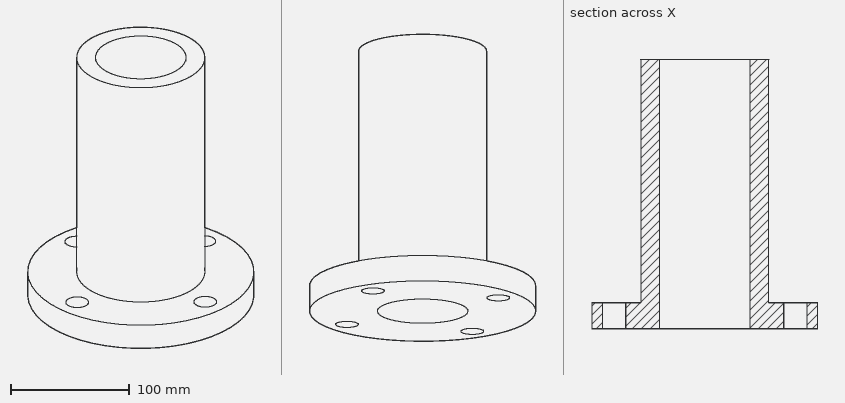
import cadquery as cq

flange_diameter = 190.5
flange_thickness = 22.225

overall_height = 227.01
neck_diameter = 107.95
bore_diameter = 76.2

bolt_circle_diameter = 152.4
bolt_hole_diameter = 19.05
bolt_hole_count = 4


def make_body():
    """Flange disc with the neck rising from it, both centred on Z."""
    flange = cq.Workplane("XY").circle(flange_diameter / 2).extrude(flange_thickness)
    neck = cq.Workplane("XY").circle(neck_diameter / 2).extrude(overall_height)
    return flange.union(neck)


def make_bore():
    """Straight bore through the full height."""
    return cq.Workplane("XY").circle(bore_diameter / 2).extrude(overall_height)


def make_bolt_holes():
    """Evenly spaced bolt holes through the flange."""
    return (
        cq.Workplane("XY")
        .polarArray(bolt_circle_diameter / 2, 0, 360, bolt_hole_count)
        .circle(bolt_hole_diameter / 2)
        .extrude(flange_thickness)
    )


result = make_body().cut(make_bore()).cut(make_bolt_holes())